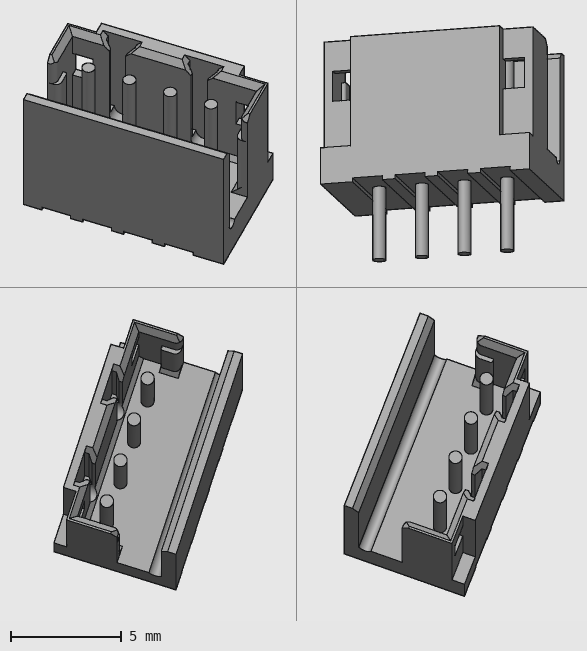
import cadquery as cq

WIDTH = 9.8
DEPTH = 5.8
HEIGHT = 6.8
FLOOR_Z = 1.7
FRONT_WALL = 0.7
SIDE_WALL = 0.4
SIDE_WALL_FRONT_Y = 2.8
REAR_WALL_INNER_Y = 4.8
RIM_CHAMFER = 0.3
SIDE_WALL_FILLET = 0.3
FLOOR_CHAMFER = 0.23
INNER_X = WIDTH / 2 - SIDE_WALL

GROOVE_RADIUS = 0.3
GROOVE_AXIS_Z = 1.77

STEP_WIDTH = 1.4
STEP_DEPTH = 0.6
WINDOW_BOTTOM = 4
WINDOW_TOP = 5.4

PIN_COUNT = 4
PIN_PITCH = 2
FIRST_PIN_X = -3.3
PIN_Y = 3.8
PIN_DIAMETER = 0.6
PIN_BOTTOM = -3.2
PIN_TOP = 5.9
PIN_XS = [FIRST_PIN_X + i * PIN_PITCH for i in range(PIN_COUNT)]
FOOT_HEIGHT = 0.18
FOOT_SLOT_WIDTH = 1.4

KEY_SLOT_XS = [x + PIN_PITCH / 2 for x in PIN_XS[::2]]
KEY_BACK_Y = 5.4
KEY_SHOULDER_Y = 5.19
KEY_MOUTH_Y = 4.96
KEY_HALF_WIDTH = 0.7
KEY_MOUTH_HALF_WIDTH = 0.4
KEY_FLOOR_Z = 2.15
KEY_RIM_HALF_WIDTH = 0.96

RIB_TOP = 5.25
RIB_REAR_Y = 3.7
RIB_THICKNESS = 0.2
RIB_REAR_FILLET = 0.1
RIB_FLARE = 0.2


def box(x0, x1, y0, y1, z0, z1):
    """Box between the given limits."""
    return cq.Workplane("XY").box(x1 - x0, y1 - y0, z1 - z0, centered=False).translate((x0, y0, z0))


def along_x(points, half_length):
    """Prism of a Y-Z outline, centred on X = 0."""
    return cq.Workplane("YZ").polyline(points).close().extrude(half_length, both=True)


def both_sides(shape):
    """The shape together with its mirror image across X = 0."""
    return shape.union(shape.mirror("YZ"))


def make_shell():
    """Block opened into a front wall, a floor, a rear wall and two short side walls."""
    outline = [
        (0, 0),
        (DEPTH, 0),
        (DEPTH, HEIGHT),
        (SIDE_WALL_FRONT_Y + RIM_CHAMFER, HEIGHT),
        (SIDE_WALL_FRONT_Y, HEIGHT - RIM_CHAMFER),
        (SIDE_WALL_FRONT_Y, FLOOR_Z),
        (FRONT_WALL, FLOOR_Z),
        (FRONT_WALL, HEIGHT - RIM_CHAMFER),
        (FRONT_WALL - RIM_CHAMFER, HEIGHT),
        (0, HEIGHT),
    ]
    return along_x(outline, WIDTH / 2)


def make_cavity():
    """Space between the side walls, flared at the rim and sloped at the rear of the floor."""
    rim_z = HEIGHT - RIM_CHAMFER
    cavity = box(-INNER_X, INNER_X, SIDE_WALL_FRONT_Y, REAR_WALL_INNER_Y, FLOOR_Z, HEIGHT)
    slope = along_x(
        [
            (REAR_WALL_INNER_Y - FLOOR_CHAMFER, FLOOR_Z),
            (REAR_WALL_INNER_Y, FLOOR_Z),
            (REAR_WALL_INNER_Y, FLOOR_Z + FLOOR_CHAMFER),
        ],
        INNER_X,
    )
    flare_front_y = FRONT_WALL + RIM_CHAMFER
    flare = (
        cq.Workplane("XY", origin=(0, (flare_front_y + REAR_WALL_INNER_Y) / 2, rim_z))
        .rect(2 * INNER_X, REAR_WALL_INNER_Y - flare_front_y)
        .workplane(offset=RIM_CHAMFER)
        .rect(2 * (INNER_X + RIM_CHAMFER), REAR_WALL_INNER_Y - flare_front_y + 2 * RIM_CHAMFER)
        .loft(ruled=True)
    )
    return cavity.cut(slope).union(flare)


def make_corner_relief(face_x, z0, z1):
    """Waste that rounds a front inner edge whose wall face is at face_x, on the +X side."""
    radius = SIDE_WALL_FILLET
    front_y = SIDE_WALL_FRONT_Y
    corner = box(face_x, face_x + radius, front_y, front_y + radius, z0, z1)
    rounding = (
        cq.Workplane("XY", origin=(face_x + radius, front_y + radius, z0)).circle(radius).extrude(z1 - z0)
    )
    return corner.cut(rounding)


def make_rib():
    """Rib on the +X side wall, with a sloped foot on the floor."""
    face_x = INNER_X - RIB_THICKNESS
    rib = (
        box(face_x, WIDTH / 2, SIDE_WALL_FRONT_Y, RIB_REAR_Y, FLOOR_Z, RIB_TOP)
        .edges("|Z and >Y and <X")
        .fillet(RIB_REAR_FILLET)
        .cut(make_corner_relief(face_x, FLOOR_Z, RIB_TOP))
    )
    toe_x = face_x - RIB_FLARE
    slope_run = RIB_FLARE + SIDE_WALL_FILLET
    foot = (
        cq.Workplane("XZ", origin=(0, RIB_REAR_Y, 0))
        .polyline(
            [
                (toe_x, FLOOR_Z),
                (toe_x + slope_run, FLOOR_Z),
                (toe_x + slope_run, FLOOR_Z + slope_run),
            ]
        )
        .close()
        .extrude(RIB_REAR_Y - SIDE_WALL_FRONT_Y)
    )
    return rib.union(foot)


def make_key_slot(x):
    """Keying slot in the rear wall, with a round-bottomed mouth and a flared rim."""
    trough_front_y = REAR_WALL_INNER_Y - FLOOR_CHAMFER
    half_outline = [
        (KEY_HALF_WIDTH, KEY_BACK_Y),
        (KEY_HALF_WIDTH, KEY_SHOULDER_Y),
        (KEY_MOUTH_HALF_WIDTH, KEY_MOUTH_Y),
        (KEY_MOUTH_HALF_WIDTH, trough_front_y),
    ]
    outline = half_outline + [(-px, py) for px, py in reversed(half_outline)]
    slot = (
        cq.Workplane("XY", origin=(0, 0, KEY_FLOOR_Z)).polyline(outline).close().extrude(HEIGHT - KEY_FLOOR_Z)
    )
    length = KEY_BACK_Y - trough_front_y
    trough = (
        cq.Workplane("XZ", origin=(0, KEY_BACK_Y, KEY_FLOOR_Z)).circle(KEY_MOUTH_HALF_WIDTH).extrude(length)
    )
    rim_half = KEY_RIM_HALF_WIDTH
    rim = (
        cq.Workplane("XZ", origin=(0, KEY_BACK_Y, 0))
        .polyline([(0, HEIGHT - rim_half), (rim_half, HEIGHT), (-rim_half, HEIGHT)])
        .close()
        .extrude(length)
    )
    return slot.union(trough).union(rim).translate((x, 0, 0))


def make_groove():
    """Round-bottomed groove in the floor, tangent to the front wall."""
    return (
        cq.Workplane("YZ", origin=(0, FRONT_WALL + GROOVE_RADIUS, GROOVE_AXIS_Z))
        .circle(GROOVE_RADIUS)
        .extrude(WIDTH / 2, both=True)
    )


def make_rear_corner():
    """Rear corner step and the window inside it, on the +X side."""
    step_x = WIDTH / 2 - STEP_WIDTH
    step_y = DEPTH - STEP_DEPTH
    step = box(step_x, WIDTH / 2, step_y, DEPTH, FLOOR_Z, HEIGHT)
    window = box(step_x, INNER_X, REAR_WALL_INNER_Y, step_y, WINDOW_BOTTOM, WINDOW_TOP)
    return step.union(window)


def make_foot_slot(x):
    """Clearance slot under the housing around one pin."""
    half = FOOT_SLOT_WIDTH / 2
    return box(x - half, x + half, 0, DEPTH, 0, FOOT_HEIGHT)


def make_pin(x):
    """Straight round pin through the floor."""
    length = PIN_TOP - PIN_BOTTOM
    return cq.Workplane("XY", origin=(x, PIN_Y, PIN_BOTTOM)).circle(PIN_DIAMETER / 2).extrude(length)


result = make_shell().cut(make_cavity()).cut(make_groove())
result = result.cut(both_sides(make_corner_relief(INNER_X, FLOOR_Z, HEIGHT)))
result = result.cut(both_sides(make_rear_corner()))
for slot_x in KEY_SLOT_XS:
    result = result.cut(make_key_slot(slot_x))
result = result.union(both_sides(make_rib()))
for pin_x in PIN_XS:
    result = result.cut(make_foot_slot(pin_x)).union(make_pin(pin_x))